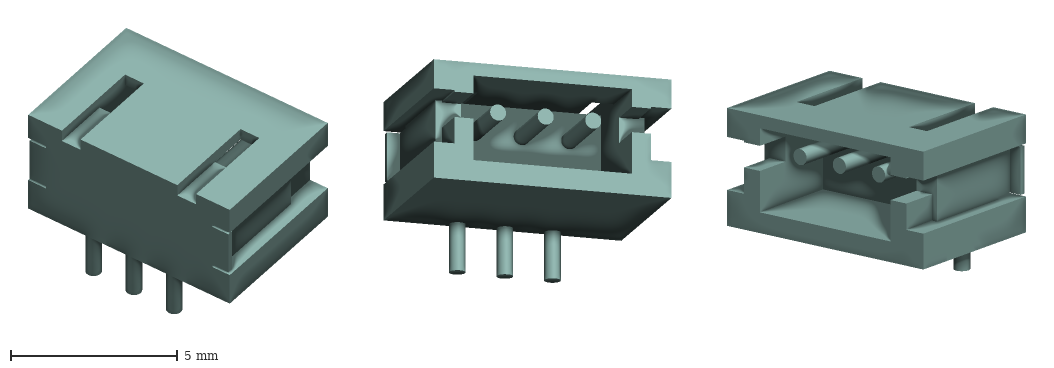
import cadquery as cq


WIDTH = 7.5
DEPTH = 5.0
HEIGHT = 3.7

BASE_THICKNESS = 1.125
ROOF_THICKNESS = 0.91
CHEEK_INSET = 0.46
CHEEK_LENGTH = 3.75
INNER_WALL_INSET = 0.65
TAB_INSET = 0.05
TAB_THICKNESS = 0.19
SLIT_HEIGHT = 0.08
SLIT_DEPTH = 0.76

WINDOW_BOTTOM = 1.95
WINDOW_TOP = 2.74

SLOT_INSET = 1.25
SLOT_WIDTH = 0.7
SLOT_LENGTH = 3.225
SLOT_DEPTH = 0.405
CAVITY_FLOOR = 0.65
CAVITY_BACK = 1.92

PIN_COUNT = 3
PIN_PITCH = 1.5
PIN_DIAMETER = 0.5
TAIL_LENGTH = 1.5
CONTACT_HEIGHT = 2.41
CONTACT_TIP = 4.31


def block(x_range, y_range, z_range):
    """Box spanning the given (low, high) ranges."""
    sizes = [high - low for low, high in (x_range, y_range, z_range)]
    corner = (x_range[0], y_range[0], z_range[0])
    return cq.Workplane("XY").box(*sizes, centered=False).translate(corner)


def both_sides(shape):
    """Shape together with its mirror image across the middle plane."""
    return shape.union(shape.mirror("YZ"))


def side_recess():
    """Material removed from the left side between base and roof."""
    outer = -WIDTH / 2
    cheek = outer + CHEEK_INSET
    inner_wall = outer + INNER_WALL_INSET
    bottom = BASE_THICKNESS
    top = HEIGHT - ROOF_THICKNESS
    recess = block((outer, cheek), (TAB_THICKNESS, DEPTH), (bottom, top))
    recess = recess.union(block((outer, inner_wall), (CHEEK_LENGTH, DEPTH), (bottom, top)))
    recess = recess.union(block((outer, outer + TAB_INSET), (0, TAB_THICKNESS), (bottom, top)))
    for slit_bottom in (bottom, top - SLIT_HEIGHT):
        slit_z = (slit_bottom, slit_bottom + SLIT_HEIGHT)
        recess = recess.union(block((outer, inner_wall), (0, SLIT_DEPTH), slit_z))
    return recess


def roof_slot():
    """Left slot in the roof, open at the rear and breaking into the cavity."""
    left = -WIDTH / 2 + SLOT_INSET
    return block((left, left + SLOT_WIDTH), (0, SLOT_LENGTH), (HEIGHT - SLOT_DEPTH, HEIGHT))


def cavity():
    """Mating cavity, open at the mouth and flush with the outer slot walls."""
    half_width = WIDTH / 2 - SLOT_INSET
    return block((-half_width, half_width), (CAVITY_BACK, DEPTH), (CAVITY_FLOOR, HEIGHT - SLOT_DEPTH))


def wall_windows():
    """Opening through both inner walls next to the mouth."""
    half_width = WIDTH / 2 - INNER_WALL_INSET
    return block((-half_width, half_width), (CHEEK_LENGTH, DEPTH), (WINDOW_BOTTOM, WINDOW_TOP))


def pin(x):
    """Solder tail below the housing and contact pin inside the cavity."""
    radius = PIN_DIAMETER / 2
    tail = cq.Workplane("XY").center(x, radius).circle(radius).extrude(-TAIL_LENGTH)
    contact = (
        cq.Workplane("XZ", origin=(x, CAVITY_BACK, CONTACT_HEIGHT))
        .circle(radius)
        .extrude(CAVITY_BACK - CONTACT_TIP)
    )
    return tail, contact


result = block((-WIDTH / 2, WIDTH / 2), (0, DEPTH), (0, HEIGHT))
result = result.cut(both_sides(side_recess()))
result = result.cut(both_sides(roof_slot()))
result = result.cut(cavity())
result = result.cut(wall_windows())
for index in range(PIN_COUNT):
    pin_x = (index - (PIN_COUNT - 1) / 2) * PIN_PITCH
    for pin_part in pin(pin_x):
        result = result.union(pin_part)